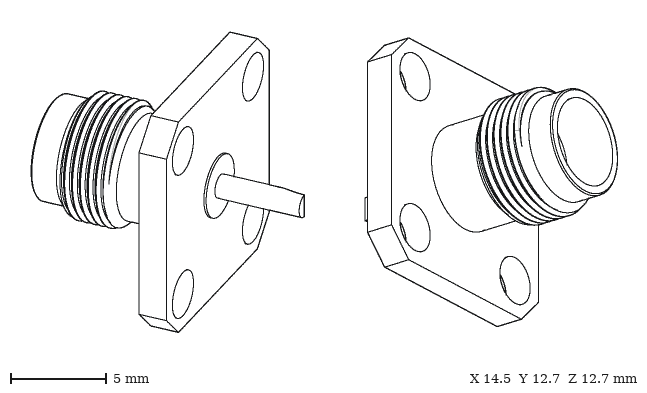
import cadquery as cq
import math

total_length = 14.5
collar_start = 1.51
collar_end = 4.97
flange_front = 7.9
flange_back = 9.5
boss_end = 9.63

barrel_radius = 2.9
barrel_edge_chamfer = 0.09
bore_radius = 2.39
bore_depth = 3.0

thread_core_radius = 3.2
thread_crest_radius = 3.47
thread_pitch = 0.455
thread_crest_width = 0.05
thread_half_angle = math.radians(30)
thread_root_overlap = 0.06
first_crest_below_axis = 1.44
thread_turns = 8
clip_clearance = 0.01

flange_side = 12.7
flange_corner_chamfer = 1.48
hole_diameter = 2.61
hole_spacing = 8.64

boss_radius = 1.74
pin_radius = 0.65
pin_cut_start = 12.59


def axial_cylinder(start, end, radius):
    return cq.Workplane("YZ", origin=(start, 0, 0)).circle(radius).extrude(end - start)


def barrel_envelope():
    """Barrel outline with 45 degree cones at both collar ends, just clear of the thread crests."""
    collar_radius = thread_crest_radius + clip_clearance
    rise = collar_radius - barrel_radius
    return (
        cq.Workplane("XY")
        .lineTo(0, barrel_radius - barrel_edge_chamfer)
        .lineTo(barrel_edge_chamfer, barrel_radius)
        .lineTo(collar_start, barrel_radius)
        .lineTo(collar_start + rise, collar_radius)
        .lineTo(collar_end - rise, collar_radius)
        .lineTo(collar_end, barrel_radius)
        .lineTo(flange_front, barrel_radius)
        .lineTo(flange_front, 0)
        .close()
        .revolve(360, (0, 0, 0), (1, 0, 0))
    )


def thread_ridge():
    """Right-hand ridge, swept along Z and then turned onto the X axis."""
    root_radius = thread_core_radius - thread_root_overlap
    half_crest = thread_crest_width / 2
    ridge_height = thread_crest_radius - root_radius
    half_root = half_crest + ridge_height * math.tan(thread_half_angle)
    helix = cq.Wire.makeHelix(thread_pitch, thread_pitch * thread_turns, root_radius)
    ridge = (
        cq.Workplane("XZ")
        .moveTo(root_radius, -half_root)
        .lineTo(thread_crest_radius, -half_crest)
        .lineTo(thread_crest_radius, half_crest)
        .lineTo(root_radius, half_root)
        .close()
        .sweep(cq.Workplane(obj=helix), isFrenet=True)
    )
    turned = ridge.rotate((0, 0, 0), (0, 1, 0), 90)
    return turned.translate((first_crest_below_axis, 0, 0))


def threaded_barrel():
    """Thread core and ridge, trimmed together to the barrel outline."""
    core = axial_cylinder(0, flange_front, thread_core_radius)
    return core.union(thread_ridge()).intersect(barrel_envelope())


def flange():
    return (
        cq.Workplane("YZ", origin=(flange_front, 0, 0))
        .rect(flange_side, flange_side)
        .extrude(flange_back - flange_front)
        .edges("|X")
        .chamfer(flange_corner_chamfer)
        .faces("<X")
        .workplane(origin=(flange_front, 0, 0))
        .rect(hole_spacing, hole_spacing, forConstruction=True)
        .vertices()
        .hole(hole_diameter)
    )


def pin():
    """Pin scooped on its +Y side by an arc that runs out on the axis at the tip."""
    cut_length = total_length - pin_cut_start
    scoop_radius = (cut_length**2 + pin_radius**2) / (2 * pin_radius)
    scoop = (
        cq.Workplane("XY", origin=(total_length, scoop_radius, 0))
        .circle(scoop_radius)
        .extrude(pin_radius, both=True)
    )
    return axial_cylinder(flange_back, total_length, pin_radius).cut(scoop)


boss = axial_cylinder(flange_back, boss_end, boss_radius)
bore = axial_cylinder(0, bore_depth, bore_radius)

result = threaded_barrel().cut(bore).union(flange()).union(boss).union(pin())